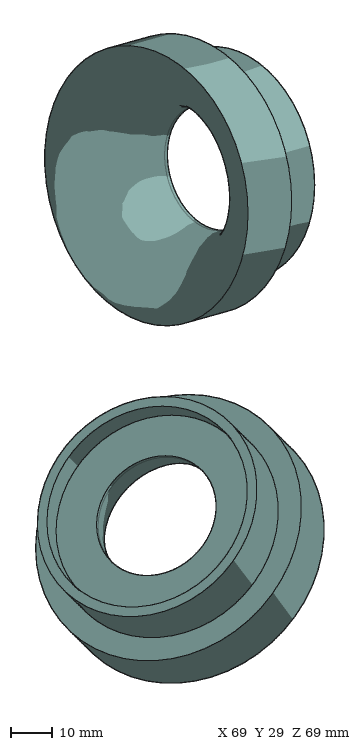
import cadquery as cq
import math

flange_diameter = 69.0
flange_length = 15.0
tube_diameter = 57.0
tube_wall = 2.5
tube_length = 14.0
throat_diameter = 31.0
flare_length = 22.0
throat_land = 1.0

flange_radius = flange_diameter / 2
throat_radius = throat_diameter / 2
tube_outer_radius = tube_diameter / 2
tube_inner_radius = tube_outer_radius - tube_wall
tube_end = flange_length + tube_length
funnel_end = flare_length + throat_land

flare_depth = flange_radius - throat_radius
flare_radius = (flare_length**2 + flare_depth**2) / (2 * flare_depth)
flare_half_angle = math.asin(flare_length / flare_radius) / 2
flare_middle = (
    throat_radius + flare_radius * (1 - math.cos(flare_half_angle)),
    flare_length - flare_radius * math.sin(flare_half_angle),
)


def revolve_about_y(profile):
    return profile.close().revolve(360, (0, 0, 0), (0, 1, 0))


def build_funnel():
    """Flange with a flared bore and a spigot that plugs into the tube."""
    profile = (
        cq.Workplane("XY")
        .moveTo(flange_radius, 0)
        .lineTo(flange_radius, flange_length)
        .lineTo(tube_inner_radius, flange_length)
        .lineTo(tube_inner_radius, funnel_end)
        .lineTo(throat_radius, funnel_end)
        .lineTo(throat_radius, flare_length)
        .threePointArc(flare_middle, (flange_radius, 0))
    )
    return revolve_about_y(profile)


def build_tube():
    """Plain tube that sits over the spigot and butts against the flange."""
    profile = (
        cq.Workplane("XY")
        .moveTo(tube_inner_radius, flange_length)
        .lineTo(tube_outer_radius, flange_length)
        .lineTo(tube_outer_radius, tube_end)
        .lineTo(tube_inner_radius, tube_end)
    )
    return revolve_about_y(profile)


funnel = build_funnel()
tube = build_tube()
result = cq.Compound.makeCompound([funnel.val(), tube.val()])